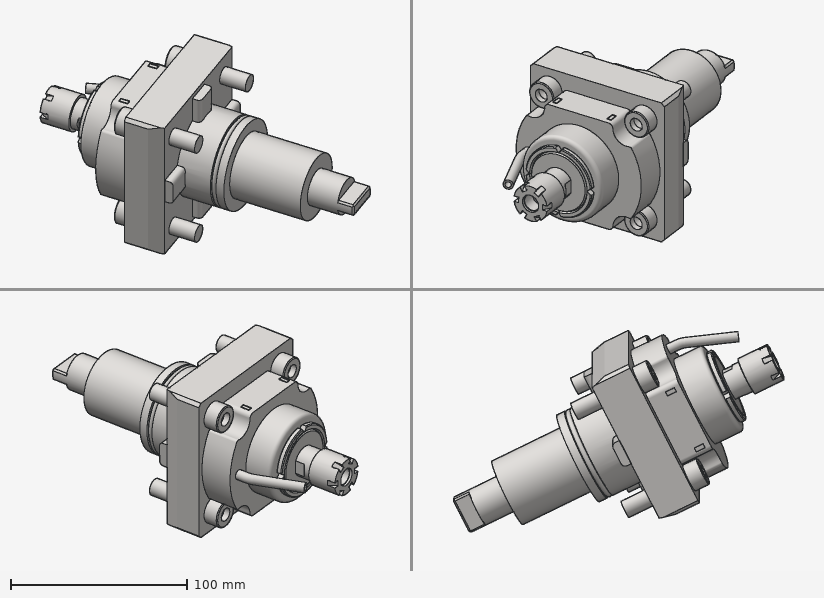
import cadquery as cq
import math


nut_length = 18.3
nut_radius = 11.2
nut_mouth_radius = 5.4
nut_mouth_depth = 1.5
collet_bore_radius = 5.0
collet_bore_depth = 10.0
nut_slot_count = 6
nut_slot_width = 3.4
nut_slot_floor_radius = 8.0
nut_slot_length = 5.2
neck_radius = 9.4
neck_flat_start = 22.7
neck_flat_lead_in = 0.8
neck_flat_distance = 8.4

collar_start = 29.5
collar_radius = 22.1
collar_chamfer = 0.5
collar_notch_count = 4
collar_notch_half_width = 2.2
collar_notch_floor_radius = 19.1
face_groove_inner_radius = 18.0
face_groove_outer_radius = 19.3
face_groove_depth = 1.0

housing_start = 33.0
housing_radius = 26.9
housing_round = 2.4

flange_start = 51.0
flange_radius = 42.0
flange_half_height = 34.5
scallop_radius = 9.0
flange_inner_round = 3.0
flange_outer_round = 2.0
flange_pad_start = 54.4
flange_pad_length = 5.5
flange_pad_inner_y = 17.0
flange_pad_width = 2.5
flange_pad_height = 0.4

plate_start = 70.7
plate_end = 95.0
plate_size = 90.0
plate_corner = 2.0
plate_taper_start = 85.9
plate_taper_drop = 2.5

screw_offset = 31.9
screw_head_start = 61.5
screw_head_radius = 8.2
screw_head_chamfer = 0.5
screw_shank_radius = 5.2
screw_shank_end = 111.4
screw_socket_radius = 4.0
screw_socket_depth = 4.0
screw_socket_tip_angle = 118.0

lug_reach = 42.2
lug_width = 15.1
lug_length = 5.4
lug_round = 2.5

barrel_radius = 27.5
barrel_end = 125.1
seal_groove_start = 116.5
seal_groove_width = 3.5
seal_groove_depth = 1.5
shank_radius = 20.1
shank_end = 170.0

drive_radius = 11.2
tang_start = 189.0
tang_thickness = 7.5
tang_end_chamfer = 1.0
tang_side_chamfer = 1.4
total_length = 199.2

pipe_radius = 3.0
pipe_bore_radius = 1.8
pipe_y = 33.9
pipe_bend_start = 45.2
pipe_bend_radius = 13.5
pipe_bend_angle = 20.0
pipe_arm_length = 30.3


def axial_cylinder(start, end, radius, y=0, z=0):
    """Cylinder along X from start to end."""
    return cq.Workplane("YZ", origin=(start, y, z)).circle(radius).extrude(end - start)


def block(start, end, y_size, z_size, y=0):
    """Box along X from start to end, centred on y and on the spindle height."""
    return cq.Workplane("YZ", origin=(start, y, 0)).rect(y_size, z_size).extrude(end - start)


def turned(points):
    """Solid of revolution about X from (x, radius) points."""
    return cq.Workplane("XY").polyline(points).close().revolve(360, (0, 0, 0), (1, 0, 0))


def around_x(shape, count):
    """Yield equally spaced copies of the shape around the X axis."""
    for index in range(count):
        yield shape.rotate((0, 0, 0), (1, 0, 0), index * 360 / count)


def make_nose():
    nut = axial_cylinder(0, nut_length, nut_radius)
    slot = (
        cq.Workplane("XY")
        .moveTo(0, nut_slot_floor_radius)
        .lineTo(nut_slot_length, nut_radius)
        .lineTo(0, nut_radius)
        .close()
        .extrude(nut_slot_width / 2, both=True)
    )
    for cutter in around_x(slot, nut_slot_count):
        nut = nut.cut(cutter)

    neck = axial_cylinder(nut_length, collar_start, neck_radius)
    flat_cutter = (
        cq.Workplane("XY")
        .moveTo(neck_flat_start, neck_radius)
        .lineTo(neck_flat_start + neck_flat_lead_in, neck_flat_distance)
        .lineTo(collar_start, neck_flat_distance)
        .lineTo(collar_start, neck_radius)
        .close()
        .extrude(neck_radius, both=True)
    )
    for cutter in around_x(flat_cutter, 2):
        neck = neck.cut(cutter)

    nose = nut.union(neck)
    nose = nose.cut(axial_cylinder(0, nut_mouth_depth, nut_mouth_radius))
    return nose.cut(axial_cylinder(0, collet_bore_depth, collet_bore_radius))


def make_collar():
    collar = axial_cylinder(collar_start, housing_start, collar_radius).edges().chamfer(collar_chamfer)
    groove_middle = (face_groove_inner_radius + face_groove_outer_radius) / 2
    collar = collar.cut(
        turned([
            (collar_start, face_groove_inner_radius),
            (collar_start, face_groove_outer_radius),
            (collar_start + face_groove_depth, groove_middle),
        ])
    )
    notch = (
        cq.Workplane("YZ", origin=(collar_start, 0, 0))
        .moveTo(collar_notch_floor_radius, 0)
        .lineTo(collar_radius, collar_notch_half_width)
        .lineTo(collar_radius, -collar_notch_half_width)
        .close()
        .extrude(housing_start - collar_start)
    )
    for cutter in around_x(notch, collar_notch_count):
        collar = collar.cut(cutter)
    return collar


def make_housing():
    housing = axial_cylinder(housing_start, flange_start, housing_radius)
    return housing.faces("<X").edges().fillet(housing_round)


def screw_positions():
    return [(y, z) for y in (-screw_offset, screw_offset) for z in (-screw_offset, screw_offset)]


def make_flange():
    flange = axial_cylinder(flange_start, plate_start, flange_radius)
    flange = flange.intersect(block(flange_start, plate_start, 2 * flange_radius, 2 * flange_half_height))
    for y, z in screw_positions():
        flange = flange.cut(axial_cylinder(flange_start, plate_start, scallop_radius, y, z))

    inner = cq.selectors.BoxSelector(
        (flange_start, -screw_offset, -plate_size), (plate_start, screw_offset, plate_size)
    )
    flange = flange.edges("|X").edges(inner).fillet(flange_inner_round)
    outer = cq.selectors.BoxSelector(
        (flange_start, -flange_radius, -screw_offset + scallop_radius / 2),
        (plate_start, flange_radius, screw_offset - scallop_radius / 2),
    )
    side_corners = cq.selectors.SubtractSelector(outer, inner)
    flange = flange.edges("|X").edges(side_corners).fillet(flange_outer_round)

    pad_y = flange_pad_inner_y + flange_pad_width / 2
    for y in (-pad_y, pad_y):
        flange = flange.union(
            block(
                flange_pad_start,
                flange_pad_start + flange_pad_length,
                flange_pad_width,
                2 * (flange_half_height + flange_pad_height),
                y=y,
            )
        )
    return flange


def make_plate():
    plate = block(plate_start, plate_end, plate_size, plate_size).edges("|X").chamfer(plate_corner)
    half = plate_size / 2
    taper = (
        cq.Workplane("XY")
        .moveTo(plate_taper_start, half)
        .lineTo(plate_end, half)
        .lineTo(plate_end, half - plate_taper_drop)
        .close()
        .extrude(half, both=True)
    )
    return plate.cut(taper).cut(taper.mirror("XZ"))


def make_screw(y, z):
    head = axial_cylinder(screw_head_start, plate_start, screw_head_radius, y, z)
    head = head.faces("<X").chamfer(screw_head_chamfer)
    return head.union(axial_cylinder(plate_start, screw_shank_end, screw_shank_radius, y, z))


def make_screw_socket(y, z):
    """Round recess in the screw head, ending in a drill point."""
    floor = screw_head_start + screw_socket_depth
    point_depth = screw_socket_radius / math.tan(math.radians(screw_socket_tip_angle / 2))
    point = turned([(floor, 0), (floor, screw_socket_radius), (floor + point_depth, 0)])
    hole = axial_cylinder(screw_head_start, floor, screw_socket_radius, y, z)
    return hole.union(point.translate((0, y, z)))


def make_lugs():
    """Crossed bars whose four ends stand out behind the plate."""
    bar = block(plate_end, plate_end + lug_length, 2 * lug_reach, lug_width)
    bar = bar.faces(">X").edges("|Y").fillet(lug_round)
    return bar.union(bar.rotate((0, 0, 0), (1, 0, 0), 90))


def make_rear():
    groove_end = seal_groove_start + seal_groove_width
    groove_floor = barrel_radius - seal_groove_depth
    barrel = turned([
        (plate_end, 0),
        (plate_end, barrel_radius),
        (seal_groove_start, barrel_radius),
        (seal_groove_start, groove_floor),
        (groove_end, groove_floor),
        (groove_end, barrel_radius),
        (barrel_end, barrel_radius),
        (barrel_end, shank_radius),
        (shank_end, shank_radius),
        (shank_end, 0),
    ])
    seal = (
        cq.Workplane("XY")
        .center(seal_groove_start + seal_groove_width / 2, groove_floor)
        .circle(seal_groove_depth)
        .revolve(360, (0, -groove_floor, 0), (1, -groove_floor, 0))
    )
    return barrel.union(seal)


def make_drive():
    drive = axial_cylinder(shank_end, total_length, drive_radius).faces(">X").chamfer(tang_end_chamfer)
    tang = block(tang_start, total_length, 2 * drive_radius, tang_thickness)
    tang = tang.edges("|X").chamfer(tang_side_chamfer)
    tang = tang.faces(">X").edges("|Y").chamfer(tang_end_chamfer)
    body = block(shank_end, tang_start, 2 * drive_radius, 2 * drive_radius)
    return drive.intersect(body.union(tang))


def make_pipe(radius):
    """Round bar along the bent centre line of the coolant pipe."""
    angle = math.radians(pipe_bend_angle)

    def bend_point(turn):
        x = pipe_bend_start - pipe_bend_radius * math.sin(turn)
        y = pipe_y - pipe_bend_radius * (1 - math.cos(turn))
        return x, y

    bend_end = bend_point(angle)
    tip = (
        bend_end[0] - pipe_arm_length * math.cos(angle),
        bend_end[1] - pipe_arm_length * math.sin(angle),
    )
    path = (
        cq.Workplane("XY")
        .moveTo(flange_start, pipe_y)
        .lineTo(pipe_bend_start, pipe_y)
        .threePointArc(bend_point(angle / 2), bend_end)
        .lineTo(*tip)
    )
    return cq.Workplane("YZ", origin=(flange_start, pipe_y, 0)).circle(radius).sweep(path)


result = make_nose()
for section in (
    make_collar(),
    make_housing(),
    make_flange(),
    make_plate(),
    make_lugs(),
    make_rear(),
    make_drive(),
    make_pipe(pipe_radius).cut(make_pipe(pipe_bore_radius)),
):
    result = result.union(section)

for screw_y, screw_z in screw_positions():
    result = result.union(make_screw(screw_y, screw_z))
    result = result.cut(make_screw_socket(screw_y, screw_z))